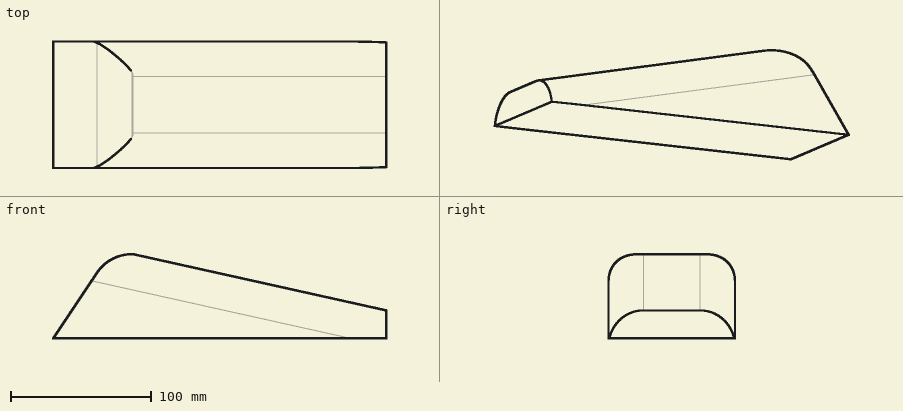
import cadquery as cq
import math

length = 237.0
width = 90.0
height = 60.0

toe_height = 20.0
heel_setback = 40.0
slope_start = 57.0
crest_radius = 30.0

side_radius = 25.0

slope_angle = math.degrees(math.atan2(height - toe_height, length - slope_start))


def make_wedge():
    """Wedge with a leaning heel face, a rounded crest and a sloping top."""
    wedge = (
        cq.Workplane("XZ")
        .polyline([
            (0, 0),
            (length, 0),
            (length, toe_height),
            (slope_start, height),
            (heel_setback, height),
        ])
        .close()
        .extrude(width / 2, both=True)
    )
    crest_corner = (heel_setback, 0, height)
    return wedge.edges(cq.selectors.NearestToPointSelector(crest_corner)).fillet(crest_radius)


def make_rounded_envelope():
    """Round-edged bar parallel to the sloping top, its upper face lying on that top."""
    reach = 2 * length
    depth = length
    return (
        cq.Workplane("XY")
        .box(reach, width, depth, centered=(True, True, False))
        .edges("|X and >Z")
        .fillet(side_radius)
        .translate((0, 0, -depth))
        .rotate((0, 0, 0), (0, 1, 0), slope_angle)
        .translate((slope_start, 0, height))
    )


result = make_wedge().intersect(make_rounded_envelope())